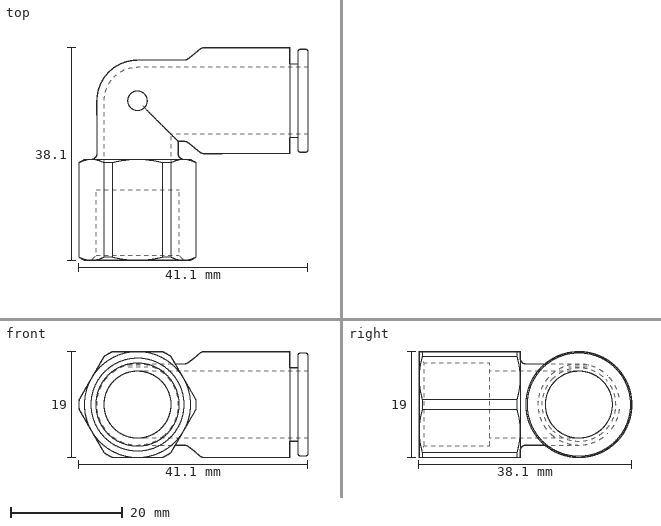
import cadquery as cq
import math


neck_radius = 7.3
passage_radius = 6.0

hex_sides = 6
hex_across_flats = 19.0
hex_corner_radius = 10.5
hex_start = 10.5
hex_end = 28.6
hex_bevel_angle = 30.0
hex_face_radius = hex_across_flats / 2
neck_fillet = 1.0
thread_radius = 7.45
thread_chamfer = 0.88
thread_depth = 12.6

cone_start = 8.8
cone_end = 11.5
cone_fillet = 1.0
socket_radius = 9.5
socket_end = 27.3
collar_groove_radius = 6.6
collar_start = 28.7
collar_end = 30.57
collar_radius = 9.25
collar_fillet = 0.5

mark_radius = 1.75
mark_depth = 0.55


def cylinder_x(radius, start, end):
    """Cylinder along +X between two distances from the elbow centre."""
    return cq.Workplane("YZ").workplane(offset=start).circle(radius).extrude(end - start)


def cylinder_y(radius, start, end):
    """Cylinder along -Y between two distances from the elbow centre."""
    return cq.Workplane("XZ").workplane(offset=start).circle(radius).extrude(end - start)


def hex_envelope():
    """Turned envelope that rounds the hex corners and bevels both hex ends."""
    bevel = (hex_corner_radius - hex_face_radius) * math.tan(math.radians(hex_bevel_angle))
    profile = [
        (0, -hex_start),
        (hex_face_radius, -hex_start),
        (hex_corner_radius, -hex_start - bevel),
        (hex_corner_radius, -hex_end + bevel),
        (hex_face_radius, -hex_end),
        (0, -hex_end),
    ]
    return cq.Workplane("XY").polyline(profile).close().revolve(360, (0, 0), (0, 1))


def hex_leg():
    """Hex with two flats facing +Z and -Z, corners turned down."""
    across_corners = hex_across_flats / math.cos(math.pi / hex_sides)
    hexagon = (
        cq.Workplane("XZ")
        .workplane(offset=hex_start)
        .polygon(hex_sides, across_corners)
        .extrude(hex_end - hex_start)
    )
    return hexagon.intersect(hex_envelope())


def hex_neck():
    """Round neck along -Y, flared by a fillet onto the hex face."""
    flare_start = hex_start - neck_fillet
    flare_radius = neck_radius + neck_fillet
    arc_offset = neck_fillet * math.sin(math.pi / 4)
    arc_middle = (flare_radius - arc_offset, -flare_start - arc_offset)
    return (
        cq.Workplane("XY")
        .moveTo(0, 0)
        .lineTo(neck_radius, 0)
        .lineTo(neck_radius, -flare_start)
        .threePointArc(arc_middle, (flare_radius, -hex_start))
        .lineTo(0, -hex_start)
        .close()
        .revolve(360, (0, 0), (0, 1))
    )


def socket_leg():
    """Neck, filleted cone and socket body along +X."""
    profile = [
        (0, 0),
        (0, neck_radius),
        (cone_start, neck_radius),
        (cone_end, socket_radius),
        (socket_end, socket_radius),
        (socket_end, 0),
    ]
    body = cq.Workplane("XY").polyline(profile).close().revolve(360, (0, 0), (1, 0))
    reach = 2 * socket_radius
    cone_edges = cq.selectors.BoxSelector(
        (cone_start - cone_fillet, -reach, -reach),
        (cone_end + cone_fillet, reach, reach),
    )
    return body.edges("%CIRCLE").edges(cone_edges).fillet(cone_fillet)


def release_collar():
    """Release collar on a narrower sleeve at the socket mouth."""
    sleeve = cylinder_x(collar_groove_radius, socket_end, collar_start)
    collar = cylinder_x(collar_radius, collar_start, collar_end).edges("%CIRCLE").fillet(collar_fillet)
    return sleeve.union(collar)


def flow_passage():
    """Elbow-shaped passage: two round bores meeting in a sphere."""
    corner = cq.Workplane("XY").sphere(passage_radius)
    hex_bore = cylinder_y(passage_radius, 0, hex_end)
    socket_bore = cylinder_x(passage_radius, 0, collar_end)
    return corner.union(hex_bore).union(socket_bore)


def thread_bore():
    """Plain bore at the thread's minor diameter with a chamfered mouth."""
    bottom = -hex_end + thread_depth
    mouth_radius = thread_radius + thread_chamfer
    profile = [
        (0, bottom),
        (thread_radius, bottom),
        (thread_radius, -hex_end + thread_chamfer),
        (mouth_radius, -hex_end),
        (0, -hex_end),
    ]
    return cq.Workplane("XY").polyline(profile).close().revolve(360, (0, 0), (0, 1))


def mark_recess():
    """Shallow round recess on the +Z side, centred on the elbow."""
    return (
        cq.Workplane("XY")
        .workplane(offset=neck_radius - mark_depth)
        .circle(mark_radius)
        .extrude(2 * mark_depth)
    )


outside = (
    cq.Workplane("XY")
    .sphere(neck_radius)
    .union(hex_neck())
    .union(socket_leg())
    .union(hex_leg())
    .union(release_collar())
)
result = outside.cut(flow_passage()).cut(thread_bore()).cut(mark_recess())